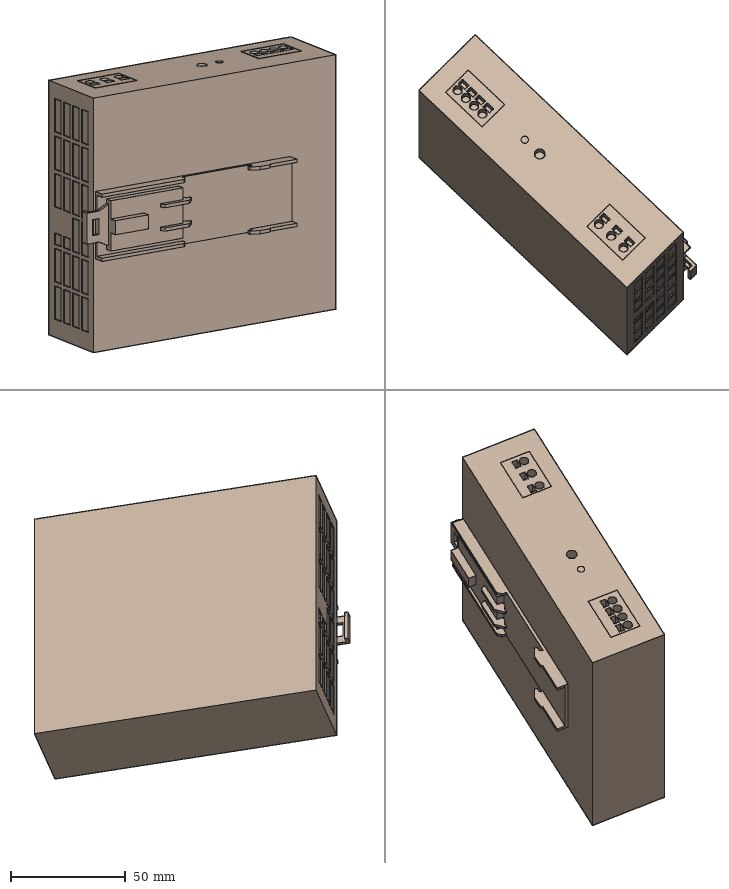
import cadquery as cq

BODY_X, BODY_Y, BODY_Z = 35.0, 126.9, 115.0
MID_Z = BODY_Z / 2
SHEET = 1.5

VENT_W, VENT_H, VENT_DEPTH = 5.0, 15.0, 0.5
VENT_PITCH_X, VENT_PITCH_Z = 7.0, 16.9
VENT_COLUMNS, VENT_ROWS = 4, 6
VENT_LEFT, VENT_BOTTOM = 4.6, 8.2
SHORT_ROW, SHORT_COLUMNS = 2, (0, 1)

BLOCK_LEFT, BLOCK_W = 7.5, 14.0
BLOCK_RECESS = 0.1
OUTPUT_BLOCK = {"front": 95.7, "length": 22.2, "count": 4, "first": 99.8, "pitch": 5.0}
INPUT_BLOCK = {"front": 10.0, "length": 21.7, "count": 3, "first": 13.7, "pitch": 7.5}
WIRE_HOLE_X, WIRE_HOLE_D = 11.9, 4.0
RELEASE_SLOT_X, RELEASE_SLOT_W, RELEASE_SLOT_L = 15.6, 2.5, 3.8
TERMINAL_DEPTH = 5.3

CONTROL_X = 16.4
LAMP_Y, LAMP_D, LAMP_RECESS = 78.4, 3.2, 0.1
ADJUSTER_Y, ADJUSTER_D, ADJUSTER_DEPTH = 69.3, 4.5, 5.3

BRACKET_FRONT, BRACKET_BACK, BRACKET_H = 0.9, 103.0, 30.4
WEB_X = BODY_X + SHEET
FLANGE_X = 40.3
RAIL_FRONT, RAIL_BACK = 45.7, 81.3
HOOK_X, HOOK_FRONT = 41.2, 78.9
HOOK_CREST_FRONT, HOOK_CREST_BACK = 83.0, 88.2
HOOK_LEFT, HOOK_TIP = 38.0, 1.5
HOOK_ROOT_CHAMFER = 0.5
LIP_CHAMFER = 1.9

SLIDER_X, SLIDER_H = 39.9, 22.7
SLIDER_FRONT, SLIDER_BACK = 5.8, 43.6
TONGUE_X = WEB_X + SHEET
TONGUE_H, TONGUE_ROOT_H = 14.0, 18.8
TONGUE_FRONT = -5.3
BEND_LEFT = 34.0
WINDOW_H, WINDOW_FRONT = 7.1, -2.4
PRONG_X, PRONG_OFFSET_Z = 42.2, 5.3
PRONG_FRONT, PRONG_BACK = 31.7, 48.6
PRONG_LEAD, PRONG_ROOT = 1.0, 0.9
PRONG_TIP, PRONG_SLOPE = 0.9, 3.3
KNOB_X, KNOB_BACK, KNOB_H = 43.5, 23.1, 6.3


def box(x0, x1, y0, y1, z0, z1):
    """Box between two opposite corners."""
    return cq.Workplane("XY").box(x1 - x0, y1 - y0, z1 - z0, centered=False).translate((x0, y0, z0))


def plate(points, height, mid_z=MID_Z):
    """XY outline extruded along Z, half of the height to each side of mid_z."""
    return cq.Workplane("XY", origin=(0, 0, mid_z)).polyline(points).close().extrude(height / 2, both=True)


def mid_box(x0, x1, y0, y1, height):
    """Box centred on the middle height of the housing."""
    return box(x0, x1, y0, y1, MID_Z - height / 2, MID_Z + height / 2)


def top_hole(x, y, diameter, depth):
    """Round blind hole, as a cutter, going down from the top face."""
    return cq.Workplane("XY", origin=(x, y, BODY_Z)).circle(diameter / 2).extrude(-depth)


def cut_vents(body):
    for row in range(VENT_ROWS):
        for column in range(VENT_COLUMNS):
            short = row == SHORT_ROW and column in SHORT_COLUMNS
            height = VENT_W if short else VENT_H
            x = VENT_LEFT + column * VENT_PITCH_X
            z = VENT_BOTTOM + row * VENT_PITCH_Z
            body = body.cut(box(x, x + VENT_W, 0, VENT_DEPTH, z, z + height))
    return body


def cut_terminal_block(body, block):
    """Shallow rectangular recess with a row of round wire holes and release slots."""
    front, back = block["front"], block["front"] + block["length"]
    body = body.cut(box(BLOCK_LEFT, BLOCK_LEFT + BLOCK_W, front, back, BODY_Z - BLOCK_RECESS, BODY_Z))
    for index in range(block["count"]):
        y = block["first"] + index * block["pitch"]
        slot = box(
            RELEASE_SLOT_X - RELEASE_SLOT_W / 2, RELEASE_SLOT_X + RELEASE_SLOT_W / 2,
            y - RELEASE_SLOT_L / 2, y + RELEASE_SLOT_L / 2,
            BODY_Z - TERMINAL_DEPTH, BODY_Z,
        )
        body = body.cut(slot).cut(top_hole(WIRE_HOLE_X, y, WIRE_HOLE_D, TERMINAL_DEPTH))
    return body


def make_housing():
    body = box(0, BODY_X, 0, BODY_Y, 0, BODY_Z)
    body = cut_vents(body)
    for block in (OUTPUT_BLOCK, INPUT_BLOCK):
        body = cut_terminal_block(body, block)
    body = body.cut(top_hole(CONTROL_X, LAMP_Y, LAMP_D, LAMP_RECESS))
    return body.cut(top_hole(CONTROL_X, ADJUSTER_Y, ADJUSTER_D, ADJUSTER_DEPTH))


def make_bracket():
    """Channel whose flanges hook over the back edge of the rail and stop at its front edge."""
    outline = [
        (BODY_X, BRACKET_FRONT),
        (FLANGE_X, BRACKET_FRONT),
        (FLANGE_X, RAIL_FRONT - LIP_CHAMFER),
        (FLANGE_X - LIP_CHAMFER, RAIL_FRONT),
        (WEB_X, RAIL_FRONT),
        (WEB_X, RAIL_BACK),
        (HOOK_LEFT - HOOK_ROOT_CHAMFER, RAIL_BACK),
        (HOOK_LEFT, RAIL_BACK - HOOK_ROOT_CHAMFER),
        (HOOK_LEFT, HOOK_FRONT),
        (HOOK_LEFT + HOOK_TIP, HOOK_FRONT),
        (HOOK_X, HOOK_CREST_FRONT),
        (HOOK_X, HOOK_CREST_BACK),
        (FLANGE_X, HOOK_CREST_BACK + HOOK_X - FLANGE_X),
        (FLANGE_X, BRACKET_BACK),
        (BODY_X, BRACKET_BACK),
    ]
    channel = mid_box(WEB_X, HOOK_X, BRACKET_FRONT, BRACKET_BACK, BRACKET_H - 2 * SHEET)
    return plate(outline, BRACKET_H).cut(channel)


def make_tongue():
    """Pull tongue with a screwdriver window and a bent end, widening up to the slider."""
    tip_z, root_z = TONGUE_H / 2, TONGUE_ROOT_H / 2
    outline = [
        (TONGUE_FRONT, -tip_z), (BRACKET_FRONT, -tip_z), (SLIDER_FRONT, -root_z),
        (SLIDER_BACK, -root_z), (SLIDER_BACK, root_z),
        (SLIDER_FRONT, root_z), (BRACKET_FRONT, tip_z), (TONGUE_FRONT, tip_z),
    ]
    tongue = cq.Workplane("YZ", origin=(WEB_X, 0, MID_Z)).polyline(outline).close().extrude(SHEET)
    bend = mid_box(BEND_LEFT, TONGUE_X, TONGUE_FRONT, TONGUE_FRONT + SHEET, TONGUE_H)
    window = mid_box(WEB_X, TONGUE_X, WINDOW_FRONT, BRACKET_FRONT, WINDOW_H)
    return tongue.union(bend).cut(window)


def make_slider():
    """Slider that straddles the tongue, with two rail prongs and a knob on its outer face."""
    slider = mid_box(WEB_X, SLIDER_X, SLIDER_FRONT, SLIDER_BACK, SLIDER_H)
    slider = slider.cut(mid_box(WEB_X, TONGUE_X, SLIDER_FRONT, SLIDER_BACK, TONGUE_ROOT_H))
    slider = slider.union(make_tongue())
    prong = [
        (FLANGE_X, PRONG_FRONT),
        (PRONG_X, PRONG_FRONT + PRONG_LEAD),
        (PRONG_X, PRONG_BACK - PRONG_SLOPE),
        (TONGUE_X + PRONG_TIP, PRONG_BACK),
        (TONGUE_X, PRONG_BACK),
        (TONGUE_X, RAIL_FRONT + PRONG_ROOT),
        (TONGUE_X - PRONG_ROOT, RAIL_FRONT),
        (TONGUE_X - PRONG_ROOT, PRONG_FRONT),
    ]
    for side in (-1, 1):
        slider = slider.union(plate(prong, SHEET, MID_Z + side * PRONG_OFFSET_Z))
    return slider.union(mid_box(TONGUE_X, KNOB_X, SLIDER_FRONT, KNOB_BACK, KNOB_H))


result = make_housing().union(make_bracket()).union(make_slider())